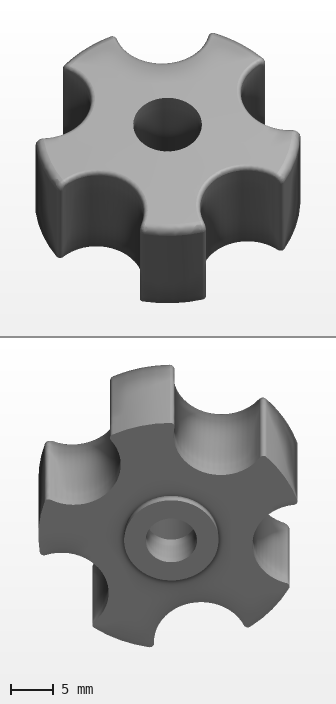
import cadquery as cq
import math

outer_radius = 15.5
body_height = 14.0
dome_radius = 250.0
rim_fillet = 1.0

lobe_count = 5
scallop_radius = 5.5
scallop_center_radius = 15.0
scallop_fillet = 0.5

boss_diameter = 11.0
boss_height = 1.0
bore_diameter = 6.0
counterbore_diameter = 8.0
counterbore_floor = 4.0

dome_center_z = body_height - dome_radius


def dome_z(radius):
    """Height of the domed top at a distance from the axis."""
    return dome_center_z + math.sqrt(dome_radius**2 - radius**2)


def make_domed_disc():
    """Disc with a slightly domed top and a rounded upper rim."""
    half_radius = outer_radius / 2
    profile = (
        cq.Workplane("XZ")
        .lineTo(outer_radius, 0)
        .lineTo(outer_radius, dome_z(outer_radius))
        .threePointArc((half_radius, dome_z(half_radius)), (0, body_height))
        .close()
    )
    disc = profile.revolve(360, (0, 0, 0), (0, 1, 0))
    return disc.faces(">Z").edges().fillet(rim_fillet)


def cut_scallops(disc):
    """Finger scallops around the rim, the first one on +X."""
    scallops = (
        cq.Workplane("XY")
        .polarArray(scallop_center_radius, 0, 360, lobe_count)
        .circle(scallop_radius)
        .extrude(body_height)
    )
    return disc.cut(scallops)


def round_scallop_edges(knob):
    """Round every scallop edge except those on the flat underside."""
    scallop_walls = knob.faces("%CYLINDER").filter(is_scallop_wall)
    scallop_edges = scallop_walls.edges().filter(is_above_underside)
    return knob.newObject(scallop_edges.vals()).fillet(scallop_fillet)


def is_scallop_wall(face):
    center = face.Center()
    return math.hypot(center.x, center.y) < outer_radius - scallop_radius / 2


def is_above_underside(edge):
    return edge.BoundingBox().zmax > body_height / 2


def add_boss(knob):
    """Round boss under the body."""
    boss = cq.Workplane("XY").circle(boss_diameter / 2).extrude(-boss_height)
    return knob.union(boss)


def cut_bore(knob):
    """Stepped bore: a through hole widened from the top."""
    through_hole = (
        cq.Workplane("XY", origin=(0, 0, -boss_height))
        .circle(bore_diameter / 2)
        .extrude(boss_height + body_height)
    )
    counterbore = (
        cq.Workplane("XY", origin=(0, 0, counterbore_floor))
        .circle(counterbore_diameter / 2)
        .extrude(body_height - counterbore_floor)
    )
    return knob.cut(through_hole).cut(counterbore)


scalloped_body = round_scallop_edges(cut_scallops(make_domed_disc()))
result = cut_bore(add_boss(scalloped_body))